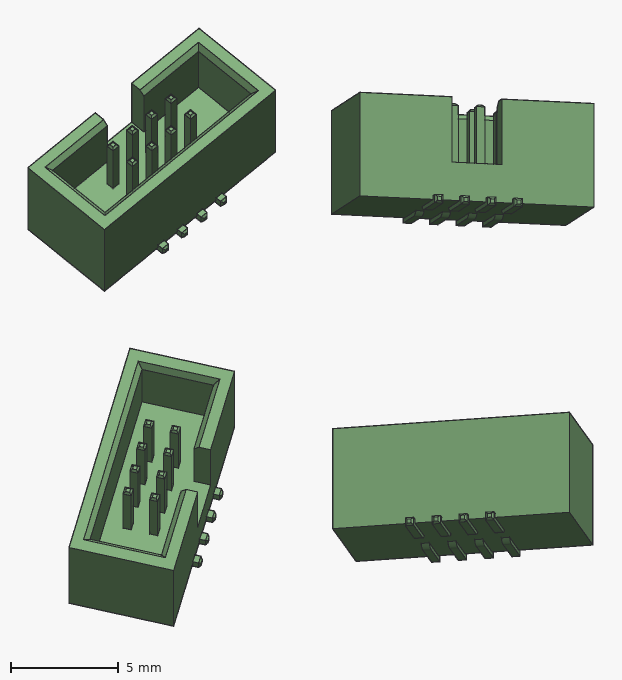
import cadquery as cq
import math

housing_length = 11.28
housing_width = 5.03
housing_height = 4.9
side_wall = 0.8
end_wall = 0.83
cavity_depth = 3.09
lead_in = 0.25
key_slot_width = 2.39

pitch = 1.27
pins_per_row = 4
pin_size = 0.4
tip_chamfer = 0.1
bend_outer_radius = 0.5
foot_reach = 2.9
overall_height = 5.1

housing_bottom = overall_height - housing_height
housing_top = overall_height
cavity_floor = housing_top - cavity_depth
pin_top = housing_top


def centred_box(size_x, size_y, height, x, z):
    """Box centred on (x, 0) that stands on the level z."""
    return cq.Workplane("XY").box(size_x, size_y, height, centered=(True, True, False)).translate((x, 0, z))


def make_shroud():
    """Open-topped housing, before the pin passages are cut."""
    shroud = centred_box(housing_width, housing_length, housing_height, 0, housing_bottom)
    cavity_width = housing_width - 2 * side_wall
    cavity_length = housing_length - 2 * end_wall
    cavity = centred_box(cavity_width, cavity_length, cavity_depth, 0, cavity_floor)
    shroud = shroud.cut(cavity)

    mouth = (
        cq.Workplane("XY", origin=(0, 0, housing_top - lead_in))
        .rect(cavity_width, cavity_length)
        .workplane(offset=lead_in)
        .rect(cavity_width + 2 * lead_in, cavity_length + 2 * lead_in)
        .loft(ruled=True)
    )
    shroud = shroud.cut(mouth)

    key_slot = centred_box(side_wall, key_slot_width, cavity_depth, (side_wall - housing_width) / 2, cavity_floor)
    return shroud.cut(key_slot)


def make_pin(y):
    """Bent pin of the -X row: upright post with a foot that runs out to -X."""
    inner_face = (pin_size - pitch) / 2
    outer_face = inner_face - pin_size
    bend_inner_radius = bend_outer_radius - pin_size
    bend_x = inner_face - bend_outer_radius
    bend_z = bend_outer_radius
    diagonal = math.cos(math.radians(45))

    def bend_middle(radius):
        return (bend_x + radius * diagonal, bend_z - radius * diagonal)

    pin = (
        cq.Workplane("XZ", origin=(0, y, 0))
        .moveTo(-foot_reach, 0)
        .lineTo(bend_x, 0)
        .threePointArc(bend_middle(bend_outer_radius), (inner_face, bend_z))
        .lineTo(inner_face, pin_top)
        .lineTo(outer_face, pin_top)
        .lineTo(outer_face, bend_z)
        .threePointArc(bend_middle(bend_inner_radius), (bend_x, pin_size))
        .lineTo(-foot_reach, pin_size)
        .close()
        .extrude(pin_size / 2, both=True)
    )
    return pin.faces(">Z").chamfer(tip_chamfer).faces("<X").chamfer(tip_chamfer)


pins = []
for index in range(pins_per_row):
    pin_y = (index - (pins_per_row - 1) / 2) * pitch
    left_pin = make_pin(pin_y)
    pins.append(left_pin)
    pins.append(left_pin.mirror("YZ"))

housing = make_shroud()
for pin in pins:
    housing = housing.cut(pin)

result = cq.Compound.makeCompound([housing.val(), *[pin.val() for pin in pins]])